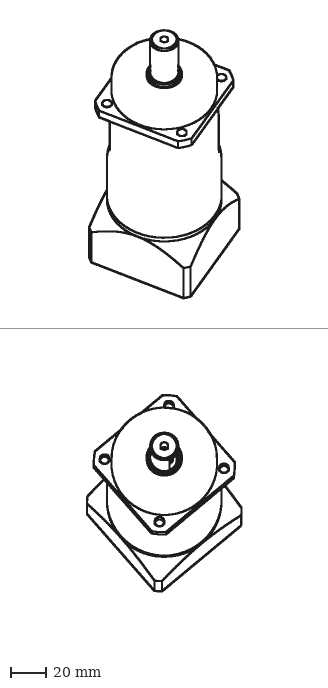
import cadquery as cq
import math

JOINT_Z = 39.7
LOWER_STEP_Z = 71.0
UPPER_STEP_Z = 105.6
FLANGE_Z = 122.0
FLANGE_THICKNESS = 5.6
FACE_Z = 140.5
COLLAR_RIM_Z = 141.5
COLLAR_TOP_Z = 142.5
OVERALL_LENGTH = 170.3

ADAPTER_WIDTH = 65.0
ADAPTER_CORNER_RADIUS = 44.0
SHOULDER_Z = 36.6

LOWER_RADIUS = ADAPTER_WIDTH / 2
UPPER_RADIUS = 31.0
NECK_RADIUS = 29.0
STEP_ARC_RADIUS = 5.0
FLANGE_WIDTH = 2 * UPPER_RADIUS
FLANGE_CORNER_RADIUS = 40.0
PILOT_RADIUS = 30.0
PILOT_FILLET = 1.9
BOLT_HOLE_DIAMETER = 5.5
BOLT_SPACING = 48.0

SHAFT_RADIUS = 8.0
SHAFT_CHAMFER_WIDTH = 1.0
SHAFT_CHAMFER_HEIGHT = 1.0
COLLAR_RADIUS = 10.0
COLLAR_TOP_RADIUS = 9.0
CENTRE_HOLE_RADIUS = 2.2
CENTRE_HOLE_DEPTH = 12.0
DRILL_POINT_ANGLE = 118.0
KEYWAY_LENGTH = 25.0
KEYWAY_WIDTH = 5.0
KEYWAY_DEPTH = 3.0
KEYWAY_MID_Z = 155.7


def rounded_square(width, corner_radius, bottom, height):
    """Square plate whose corners are turned down to a circle about its centre."""
    square = cq.Workplane("XY").workplane(offset=bottom).rect(width, width).extrude(height)
    disc = cq.Workplane("XY").workplane(offset=bottom).circle(corner_radius).extrude(height)
    return square.intersect(disc)


def make_adapter():
    """Square adapter block under a 45 degree cone and a short round spigot."""
    cone_drop = ADAPTER_CORNER_RADIUS - LOWER_RADIUS
    block = rounded_square(ADAPTER_WIDTH, ADAPTER_CORNER_RADIUS, 0, JOINT_Z)
    envelope = (
        cq.Workplane("XZ")
        .moveTo(0, 0)
        .lineTo(ADAPTER_CORNER_RADIUS, 0)
        .lineTo(ADAPTER_CORNER_RADIUS, SHOULDER_Z - cone_drop)
        .lineTo(LOWER_RADIUS, SHOULDER_Z)
        .lineTo(LOWER_RADIUS, JOINT_Z)
        .lineTo(0, JOINT_Z)
        .close()
        .revolve(360, (0, 0, 0), (0, 1, 0))
    )
    return block.intersect(envelope)


def add_rounded_step(profile, outer_radius, inner_radius, start_z):
    """Step inward through a convex and then a concave arc, both tangent to their cylinders."""
    half_step = (outer_radius - inner_radius) / 2
    arc_angle = math.acos(1 - half_step / STEP_ARC_RADIUS)
    half_rise = STEP_ARC_RADIUS * math.sin(arc_angle)
    mid_inset = STEP_ARC_RADIUS * (1 - math.cos(arc_angle / 2))
    mid_rise = STEP_ARC_RADIUS * math.sin(arc_angle / 2)
    end_z = start_z + 2 * half_rise
    return (
        profile.lineTo(outer_radius, start_z)
        .threePointArc(
            (outer_radius - mid_inset, start_z + mid_rise),
            (outer_radius - half_step, start_z + half_rise),
        )
        .threePointArc((inner_radius + mid_inset, end_z - mid_rise), (inner_radius, end_z))
    )


def make_housing_core():
    """Turned housing: two stepped cylinders, the neck and the pilot with its rounded rim."""
    rim_offset = PILOT_FILLET * (1 - math.sqrt(0.5))
    profile = cq.Workplane("XZ").moveTo(0, JOINT_Z).lineTo(LOWER_RADIUS, JOINT_Z)
    profile = add_rounded_step(profile, LOWER_RADIUS, UPPER_RADIUS, LOWER_STEP_Z)
    profile = add_rounded_step(profile, UPPER_RADIUS, NECK_RADIUS, UPPER_STEP_Z)
    return (
        profile.lineTo(NECK_RADIUS, FLANGE_Z)
        .lineTo(PILOT_RADIUS, FLANGE_Z)
        .lineTo(PILOT_RADIUS, FACE_Z - PILOT_FILLET)
        .threePointArc(
            (PILOT_RADIUS - rim_offset, FACE_Z - rim_offset),
            (PILOT_RADIUS - PILOT_FILLET, FACE_Z),
        )
        .lineTo(0, FACE_Z)
        .close()
        .revolve(360, (0, 0, 0), (0, 1, 0))
    )


def make_flange():
    """Mounting flange with a bolt hole through each corner."""
    plate = rounded_square(FLANGE_WIDTH, FLANGE_CORNER_RADIUS, FLANGE_Z, FLANGE_THICKNESS)
    return (
        plate.faces(">Z")
        .workplane(origin=(0, 0, 0))
        .rect(BOLT_SPACING, BOLT_SPACING, forConstruction=True)
        .vertices()
        .hole(BOLT_HOLE_DIAMETER)
    )


def make_shaft():
    """Output shaft with its bevelled collar and chamfered end."""
    return (
        cq.Workplane("XZ")
        .moveTo(0, FACE_Z)
        .lineTo(COLLAR_RADIUS, FACE_Z)
        .lineTo(COLLAR_RADIUS, COLLAR_RIM_Z)
        .lineTo(COLLAR_TOP_RADIUS, COLLAR_TOP_Z)
        .lineTo(SHAFT_RADIUS, COLLAR_TOP_Z)
        .lineTo(SHAFT_RADIUS, OVERALL_LENGTH - SHAFT_CHAMFER_HEIGHT)
        .lineTo(SHAFT_RADIUS - SHAFT_CHAMFER_WIDTH, OVERALL_LENGTH)
        .lineTo(0, OVERALL_LENGTH)
        .close()
        .revolve(360, (0, 0, 0), (0, 1, 0))
    )


def make_centre_hole():
    """Blind hole in the shaft end with a conical drill point."""
    floor_z = OVERALL_LENGTH - CENTRE_HOLE_DEPTH
    point_depth = CENTRE_HOLE_RADIUS / math.tan(math.radians(DRILL_POINT_ANGLE / 2))
    return (
        cq.Workplane("XZ")
        .moveTo(0, OVERALL_LENGTH)
        .lineTo(CENTRE_HOLE_RADIUS, OVERALL_LENGTH)
        .lineTo(CENTRE_HOLE_RADIUS, floor_z)
        .lineTo(0, floor_z - point_depth)
        .close()
        .revolve(360, (0, 0, 0), (0, 1, 0))
    )


def make_keyway():
    """Round-ended keyway cut into the +Y side of the shaft."""
    return (
        cq.Workplane("XZ", origin=(0, SHAFT_RADIUS, KEYWAY_MID_Z))
        .slot2D(KEYWAY_LENGTH, KEYWAY_WIDTH, 90)
        .extrude(KEYWAY_DEPTH)
    )


def make_gearbox():
    """Housing, flange and output shaft as one solid."""
    body = make_housing_core().union(make_flange()).union(make_shaft())
    return body.cut(make_centre_hole()).cut(make_keyway())


adapter = make_adapter().solids()
gearbox = make_gearbox().solids()

result = cq.Compound.makeCompound([adapter.val(), gearbox.val()])